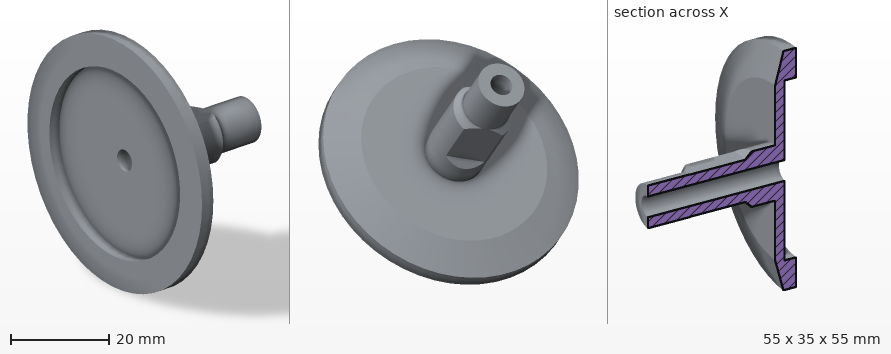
import cadquery as cq

flange_radius = 27.5
rim_thickness = 3.0
flange_thickness = 5.0
taper_end_radius = 20.0
recess_diameter = 41.2
recess_depth = 2.65

total_length = 35.0
shank_radius = 6.41
tube_radius = 4.95
shank_end = 24.9
shank_chamfer = shank_radius - tube_radius
bore_diameter = 4.7

flat_distance = 4.9
flat_start = 12.0
runout = shank_radius - flat_distance


def revolved_body():
    """Revolve the outer profile about the Y axis."""
    return (
        cq.Workplane("XY")
        .moveTo(0, 0)
        .lineTo(flange_radius, 0)
        .lineTo(flange_radius, rim_thickness)
        .lineTo(taper_end_radius, flange_thickness)
        .lineTo(shank_radius, flange_thickness)
        .lineTo(shank_radius, shank_end - shank_chamfer)
        .lineTo(tube_radius, shank_end)
        .lineTo(tube_radius, total_length)
        .lineTo(0, total_length)
        .close()
        .revolve(360, (0, 0, 0), (0, 1, 0))
    )


def front_hole(diameter, depth):
    """Round cutter going in from the front face along +Y."""
    return cq.Workplane("XZ").circle(diameter / 2).extrude(-depth)


def flat_cutter():
    """Wedge-ended block that cuts the wrench flat on the +Z side."""
    return (
        cq.Workplane("YZ")
        .moveTo(flat_start, flat_distance)
        .lineTo(shank_end, flat_distance)
        .lineTo(shank_end, shank_radius)
        .lineTo(flat_start - runout, shank_radius)
        .close()
        .extrude(shank_radius, both=True)
    )


result = revolved_body()
result = result.cut(front_hole(recess_diameter, recess_depth))
result = result.cut(front_hole(bore_diameter, total_length))
for turn in (0, 180):
    result = result.cut(flat_cutter().rotate((0, 0, 0), (0, 1, 0), turn))